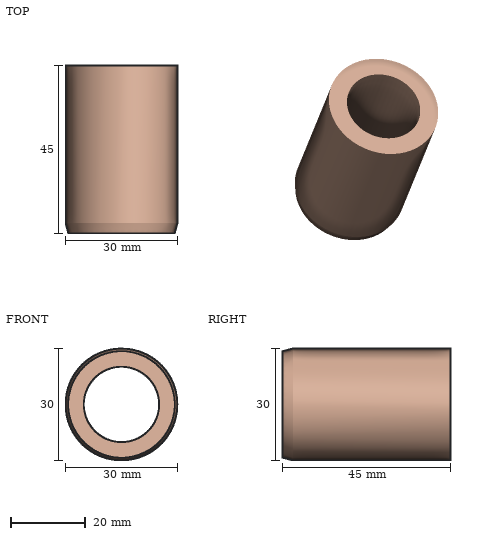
import cadquery as cq
import math

length = 45.0
outer_diameter = 30.0
bore_diameter = 20.1
taper_length = 2.8
taper_angle = 15.0

outer_radius = outer_diameter / 2
bore_radius = bore_diameter / 2
tip_radius = outer_radius - taper_length * math.tan(math.radians(taper_angle))
front_y = -length / 2
back_y = length / 2

wall_section = (
    cq.Workplane("XY")
    .moveTo(bore_radius, front_y)
    .lineTo(tip_radius, front_y)
    .lineTo(outer_radius, front_y + taper_length)
    .lineTo(outer_radius, back_y)
    .lineTo(bore_radius, back_y)
    .close()
)
result = wall_section.revolve(360, (0, 0, 0), (0, 1, 0))